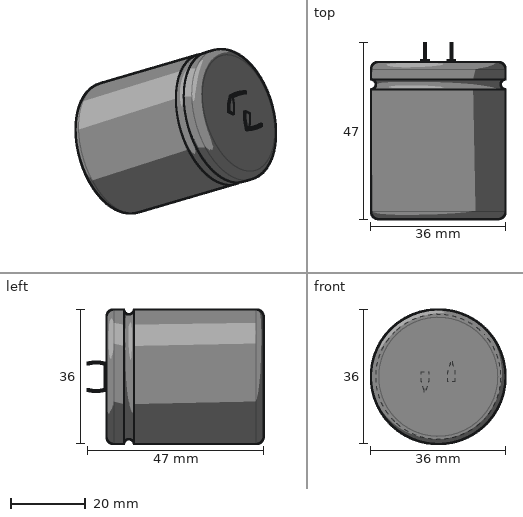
import cadquery as cq

total_length = 47.0
can_diameter = 36.0
pin_length = 5.0
can_radius = can_diameter / 2
front_y = -total_length / 2
pin_tip_y = total_length / 2
rear_y = pin_tip_y - pin_length

front_edge_radius = 2.1
rear_edge_radius = 2.0
groove_radius = 1.3
groove_to_rear = 6.0
groove_y = rear_y - groove_to_rear

pin_offset = 3.52
pin_size = 0.5
pin_bow = 0.3
foot_thickness = 0.45
foot_width = 2.0
foot_half_straight = 1.2


def make_can():
    can = (
        cq.Workplane("XZ", origin=(0, rear_y, 0))
        .circle(can_radius)
        .extrude(rear_y - front_y)
    )
    can = can.faces("<Y").edges().fillet(front_edge_radius)
    can = can.faces(">Y").edges().fillet(rear_edge_radius)
    groove_ring = (
        cq.Workplane("XY")
        .center(can_radius, groove_y)
        .circle(groove_radius)
        .revolve(360, (-can_radius, 0, 0), (-can_radius, 1, 0))
    )
    return can.cut(groove_ring)


def make_terminal():
    """Terminal on the +X, +Z side: tapered foot plate plus pin bowed towards +Z."""
    outer_z = pin_offset + pin_size / 2
    inner_z = pin_offset - pin_size / 2
    foot_top_y = rear_y + foot_thickness
    middle_y = (foot_top_y + pin_tip_y) / 2

    foot = (
        cq.Workplane("XZ", origin=(pin_offset, foot_top_y, 0))
        .moveTo(-foot_width / 2, -foot_half_straight)
        .lineTo(foot_width / 2, -foot_half_straight)
        .lineTo(foot_width / 2, foot_half_straight)
        .lineTo(pin_size / 2, outer_z)
        .lineTo(-pin_size / 2, outer_z)
        .lineTo(-foot_width / 2, foot_half_straight)
        .close()
        .extrude(foot_thickness)
    )
    pin = (
        cq.Workplane("YZ", origin=(pin_offset, 0, 0))
        .moveTo(foot_top_y, inner_z)
        .threePointArc((middle_y, inner_z + pin_bow), (pin_tip_y, inner_z))
        .lineTo(pin_tip_y, outer_z)
        .threePointArc((middle_y, outer_z + pin_bow), (foot_top_y, outer_z))
        .close()
        .extrude(pin_size / 2, both=True)
    )
    return foot.union(pin)


result = make_can()
for turn in (0, 180):
    result = result.union(make_terminal().rotate((0, 0, 0), (0, 1, 0), turn))